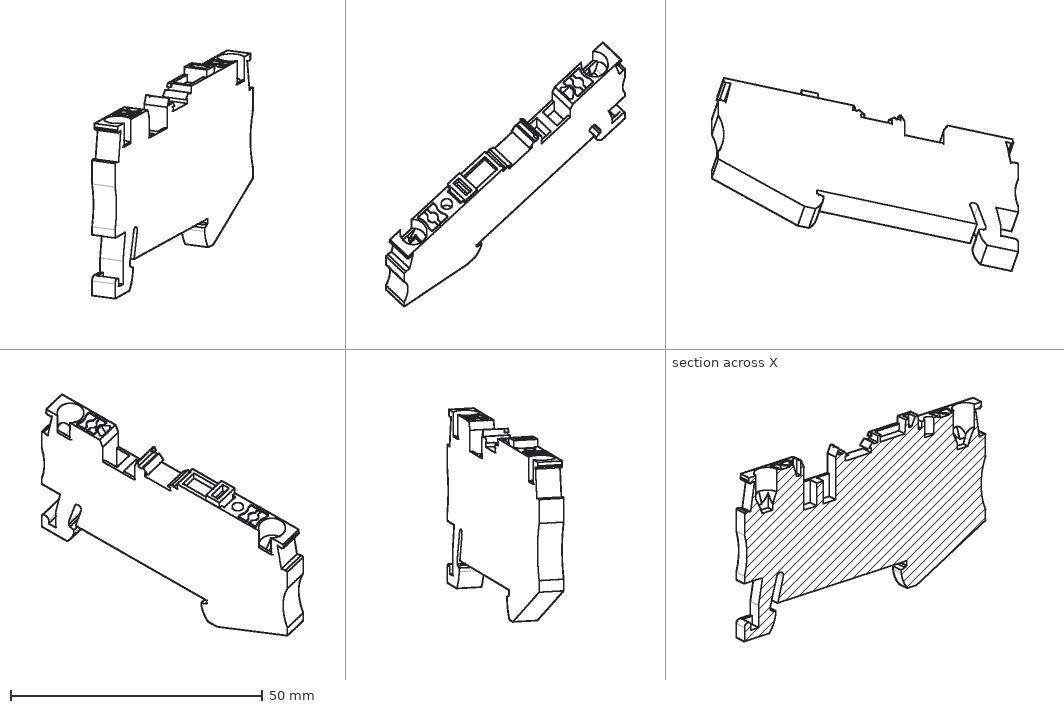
import cadquery as cq
import math

WIDTH = 5.15
LENGTH = 61.9
HEIGHT = 36.8
END_Y = LENGTH / 2
TOP_Z = 35.35
MID_X = WIDTH / 2

LIP_Y = 29.85
LIP_BARB = 0.1
LIP_SIDE_Z = 34.6
LIP_EDGE_Z = 34.35
LIP_DRIP = (29.45, 33.9)
LIP_ROOT = (28.4, 34.1)
STEP_ROOT = (29.4, 27.85)
STEP_RIDGE = (30.45, 28.15)
STEP_EDGE_Z = 28.0

GRIP_TOP_Z = 23.15
REAR_GRIP_BOTTOM_Z = 11.6
REAR_GRIP_DEPTH = 1.1
FRONT_GRIP_BOTTOM_Z = 14.3
FRONT_GRIP_DEPTH = 0.6

RAIL_Z = 6.0
REAR_CORNER_Z = 9.2
FRONT_CORNER_Z = 12.55
SLOT_CENTRE = (-21.8, 11.7)
SLOT_RADIUS = 0.8
SLOT_TILT = math.radians(14.4)
SLOT_END_Z = 5.9
STEM_TOP_Y = -26.4
STEM_BEND_Z = 6.95
REAR_SOLE_Y = 13.2

RAIL_Y = -6.8
CLAW_ROOT_HALF = 17.4
CLAW_ROOT_Z = 5.1
CLAW_BEND = (17.0, 4.75)
CLAW_TIP_HALF = 16.05
CLAW_TIP_TOP_Z = 4.45
CLAW_TIP_BOTTOM_Z = 3.8
CLAW_CURVE = (16.6, 1.8)
CLAW_SOLE_HALF = 17.7

RELEASE_Z = 3.95
RELEASE_ROUND = 0.85
RELEASE_REAR_Y = -27.35
RELEASE_WALL = 0.7
RELEASE_DEPTH = 1.85

LABEL_Y = -1.75
LABEL_FLOOR_Z = 32.2
LABEL_FLOOR_HALF = 3.2
LABEL_TOOTH_HALF = 2.5
LABEL_TOOTH_Z = 33.1
LABEL_PEAK_HALF = 3.65
LABEL_PEAK_Z = 34.3
LABEL_SHELF_HALF = 4.1
LABEL_SHELF_Z = 33.9
LABEL_WALL_HALF = 4.95
HOOK_Z = 34.65
HOOK_TIP_HALF = 4.4
HOOK_TOP_HALF = 4.75
HOOK_THICKNESS = 0.8

BAY_Z = 29.4
BAY_REAR_Y = -7.55
BAY_FRONT_Y = -15.6
BAY_REAR_CHAMFER = (0.8, 1.7)
BAY_FRONT_CHAMFER = (0.75, 1.7)
BAY_POCKET_WIDTH = 4.0
BAY_POCKET_LENGTH = 3.15
BAY_POCKET_DEPTH = 4.95

ENTRY_X = 3.0
ENTRY_Y = 25.4
ENTRY_RADIUS = 2.65
ENTRY_DEPTH = 4.95
FUNNEL_DEPTH = 2.5
FUNNEL_OUTER = 1.4
FUNNEL_MAX_X = 4.6
CLAMP_MIN_X = 1.2
CLAMP_WIDTH = 2.9
CLAMP_OUTER = 0.9
CLAMP_INNER = 1.7
CLAMP_DEPTH = 1.25

PANEL_WIDTH = 4.1
PANEL_INNER_Y = 18.2
PANEL_OUTER_Y = 22.6
PANEL_DEPTH = 0.25
ENTRY_RIM = 0.5
SCREW_Y = 20.35
SCREW_RADIUS = 1.05
SCREW_SLOT = 0.8
SCREW_DEPTH = 0.5

TEST_Y = 16.45
TEST_RADIUS = 1.1
TEST_RIM_RADIUS = 2.1
TEST_DEPTH = 3.7

HEX_POINTS = [(1.3, -16.5), (3.85, -16.5), (4.2, -17.1), (3.15, -18.45), (1.9, -18.45), (0.85, -17.1)]
HEX_FLOOR_Y = -17.45
HEX_DEPTH = 3.1
HEX_RIM = 0.3

POCKET_WIDTH = 3.6
POCKET_REAR_Y = 14.4
POCKET_FRONT_Y = 4.0
POCKET_DEPTH = 1.5
MARKER_WIDTH = 5.0
MARKER_REAR_Y = 13.75
MARKER_TOP_FRONT_Y = 10.4
MARKER_FOOT_FRONT_Y = 10.15
MARKER_SLOT_REAR_Y = 12.8
MARKER_SLOT_BEND_Y = 11.9
MARKER_SLOT_FRONT_Y = 11.25
MARKER_SLOT_DEPTH = 1.85


def block(x_range, y_range, z_range):
    """Axis-aligned box between the given limits."""
    size = [high - low for low, high in (x_range, y_range, z_range)]
    corner = (x_range[0], y_range[0], z_range[0])
    return cq.Workplane("XY").box(*size, centered=False).translate(corner)


def centred_x(width):
    """X limits of a feature centred in the thickness."""
    return (MID_X - width / 2, MID_X + width / 2)


def side_prism(points, x_range):
    """Closed Y-Z polygon extruded across the given X limits."""
    start, end = x_range
    return cq.Workplane("YZ", origin=(start, 0, 0)).polyline(points).close().extrude(end - start)


def disc(x, y, radius, top_z, depth):
    """Upright cylinder hanging down from top_z."""
    return cq.Workplane("XY", origin=(x, y, top_z)).circle(radius).extrude(-depth)


def mirrored_end(shape):
    """Copy of a rear-end feature at the front end."""
    return shape.mirror("XZ")


def end_step(sign):
    """Lip and step of one end, from the top down; sign is +1 at the rear."""
    points = [
        (LIP_Y, TOP_Z),
        (LIP_Y, LIP_SIDE_Z),
        (LIP_Y + LIP_BARB, LIP_EDGE_Z),
        LIP_DRIP,
        LIP_ROOT,
        STEP_ROOT,
        STEP_RIDGE,
        (END_Y, STEP_EDGE_Z),
    ]
    return [(sign * y, z) for y, z in points]


def label_side(sign):
    """One flank of the label groove, from the floor up to its upper wall."""
    points = [
        (LABEL_FLOOR_HALF, LABEL_FLOOR_Z),
        (LABEL_FLOOR_HALF, LABEL_TOOTH_Z),
        (LABEL_TOOTH_HALF, LABEL_TOOTH_Z),
        (LABEL_PEAK_HALF, LABEL_PEAK_Z),
        (LABEL_SHELF_HALF, LABEL_SHELF_Z),
        (LABEL_WALL_HALF, LABEL_SHELF_Z),
        (LABEL_WALL_HALF, TOP_Z),
    ]
    return [(LABEL_Y + sign * y, z) for y, z in points]


def claw(sign):
    """Claw points from root to sole; the last three lie on its curved nose."""
    points = [
        (CLAW_ROOT_HALF, CLAW_ROOT_Z),
        CLAW_BEND,
        (CLAW_TIP_HALF, CLAW_TIP_TOP_Z),
        (CLAW_TIP_HALF, CLAW_TIP_BOTTOM_Z),
        CLAW_CURVE,
        (CLAW_SOLE_HALF, 0),
    ]
    return [(RAIL_Y + sign * y, z) for y, z in points]


def make_body():
    """Side outline extruded through the thickness."""
    along = (math.sin(SLOT_TILT), math.cos(SLOT_TILT))
    across = (along[1], -along[0])

    def slot_point(direction, distance):
        return (SLOT_CENTRE[0] + distance * direction[0], SLOT_CENTRE[1] + distance * direction[1])

    slot_rear = slot_point(across, SLOT_RADIUS)
    slot_top = slot_point(along, SLOT_RADIUS)
    slot_front = slot_point(across, -SLOT_RADIUS)
    slot_mouth_y = slot_rear[0] - (slot_rear[1] - RAIL_Z) * math.tan(SLOT_TILT)

    top_edge = (
        label_side(1)[::-1]
        + label_side(-1)
        + [
            (BAY_REAR_Y + BAY_REAR_CHAMFER[0], TOP_Z),
            (BAY_REAR_Y, TOP_Z - BAY_REAR_CHAMFER[1]),
            (BAY_REAR_Y, BAY_Z),
            (BAY_FRONT_Y, BAY_Z),
            (BAY_FRONT_Y, TOP_Z - BAY_FRONT_CHAMFER[1]),
            (BAY_FRONT_Y - BAY_FRONT_CHAMFER[0], TOP_Z),
        ]
    )
    first, *upper_outline = end_step(1)[::-1] + top_edge + end_step(-1)
    front_grip_mid = (-END_Y + FRONT_GRIP_DEPTH, (GRIP_TOP_Z + FRONT_GRIP_BOTTOM_Z) / 2)
    rear_grip_mid = (END_Y - REAR_GRIP_DEPTH, (GRIP_TOP_Z + REAR_GRIP_BOTTOM_Z) / 2)

    front_claw = claw(-1)
    rear_claw = claw(1)

    outline = cq.Workplane("YZ").moveTo(*first)
    for point in upper_outline:
        outline = outline.lineTo(*point)
    return (
        outline
        .lineTo(-END_Y, GRIP_TOP_Z)
        .threePointArc(front_grip_mid, (-END_Y, FRONT_GRIP_BOTTOM_Z))
        .lineTo(-END_Y, FRONT_CORNER_Z)
        .lineTo(STEM_TOP_Y, FRONT_CORNER_Z)
        .lineTo(RELEASE_REAR_Y, STEM_BEND_Z)
        .lineTo(RELEASE_REAR_Y, RELEASE_Z)
        .lineTo(-END_Y + RELEASE_ROUND, RELEASE_Z)
        .radiusArc((-END_Y, RELEASE_Z - RELEASE_ROUND), -RELEASE_ROUND)
        .lineTo(-END_Y, 0)
        .lineTo(*front_claw[5])
        .threePointArc(front_claw[4], front_claw[3])
        .lineTo(*front_claw[2])
        .lineTo(*front_claw[1])
        .lineTo(*front_claw[0])
        .lineTo(front_claw[0][0], SLOT_END_Z)
        .lineTo(*slot_front)
        .threePointArc(slot_top, slot_rear)
        .lineTo(slot_mouth_y, RAIL_Z)
        .lineTo(rear_claw[0][0], RAIL_Z)
        .lineTo(*rear_claw[0])
        .lineTo(*rear_claw[1])
        .lineTo(*rear_claw[2])
        .lineTo(*rear_claw[3])
        .threePointArc(rear_claw[4], rear_claw[5])
        .lineTo(REAR_SOLE_Y, 0)
        .lineTo(END_Y, REAR_CORNER_Z)
        .lineTo(END_Y, REAR_GRIP_BOTTOM_Z)
        .threePointArc(rear_grip_mid, (END_Y, GRIP_TOP_Z))
        .close()
        .extrude(WIDTH)
    )


def label_hook(sign):
    """Short hook over one side of the label groove, at the X = 0 face only."""
    points = [
        (LABEL_WALL_HALF, TOP_Z),
        (HOOK_TOP_HALF, TOP_Z),
        (HOOK_TIP_HALF, HOOK_Z),
        (LABEL_WALL_HALF, HOOK_Z),
    ]
    return side_prism([(LABEL_Y + sign * y, z) for y, z in points], (0, HOOK_THICKNESS))


def wire_entry():
    """Rear wire entry: round mouth, funnel and square clamp opening."""
    funnel_z = TOP_Z - ENTRY_DEPTH
    clamp_z = funnel_z - FUNNEL_DEPTH
    clamp_x = (CLAMP_MIN_X, CLAMP_MIN_X + CLAMP_WIDTH)
    mouth = disc(ENTRY_X, ENTRY_Y, ENTRY_RADIUS, TOP_Z, ENTRY_DEPTH)

    cone = cq.Workplane(
        cq.Solid.makeCone(
            CLAMP_INNER, ENTRY_RADIUS, FUNNEL_DEPTH, pnt=(ENTRY_X, ENTRY_Y, clamp_z)
        )
    )
    cone = cone.intersect(
        block((0, FUNNEL_MAX_X), (ENTRY_Y - ENTRY_RADIUS, ENTRY_Y), (clamp_z, funnel_z))
    )
    slope_y = [
        (ENTRY_Y, funnel_z),
        (ENTRY_Y + ENTRY_RADIUS, funnel_z),
        (ENTRY_Y + FUNNEL_OUTER, clamp_z),
        (ENTRY_Y, clamp_z),
    ]
    slope_x = [
        (ENTRY_X - ENTRY_RADIUS, funnel_z),
        (FUNNEL_MAX_X, funnel_z),
        (clamp_x[1], clamp_z),
        (clamp_x[0], clamp_z),
    ]
    across = cq.Workplane("XZ").polyline(slope_x).close().extrude(-END_Y)
    flats = (
        side_prism(slope_y, (0, WIDTH))
        .intersect(across)
        .intersect(disc(ENTRY_X, ENTRY_Y, ENTRY_RADIUS, funnel_z, FUNNEL_DEPTH))
    )
    clamp_profile = [
        (ENTRY_Y - CLAMP_INNER, funnel_z),
        (ENTRY_Y + FUNNEL_OUTER, funnel_z),
        (ENTRY_Y + FUNNEL_OUTER, clamp_z),
        (ENTRY_Y + CLAMP_OUTER, clamp_z - CLAMP_DEPTH),
        (ENTRY_Y - CLAMP_INNER, clamp_z - CLAMP_DEPTH),
    ]
    clamp = side_prism(clamp_profile, clamp_x)
    return mouth.union(cone).union(flats).union(clamp)


def marking_panel():
    """Rear marking panel, bounded by the raised rim of the wire entry."""
    x_range = centred_x(PANEL_WIDTH)
    panel = block(x_range, (PANEL_INNER_Y, PANEL_OUTER_Y), (TOP_Z - PANEL_DEPTH, TOP_Z))
    panel = panel.cut(disc(ENTRY_X, ENTRY_Y, ENTRY_RADIUS + ENTRY_RIM, TOP_Z, PANEL_DEPTH))
    slot_y = (SCREW_Y - SCREW_SLOT / 2, SCREW_Y + SCREW_SLOT / 2)
    slot = block(x_range, slot_y, (TOP_Z - SCREW_DEPTH, TOP_Z))
    return panel.union(slot).union(disc(MID_X, SCREW_Y, SCREW_RADIUS, TOP_Z, SCREW_DEPTH))


def hex_prism(margin, depth):
    """Six-sided column below the top face, grown by margin all round."""
    outline = cq.Workplane("XY", origin=(0, 0, TOP_Z)).polyline(HEX_POINTS).close()
    if margin:
        outline = outline.offset2D(margin)
    return outline.extrude(-depth)


def hex_pocket():
    """Six-sided pocket whose front wall slopes in towards the floor."""
    rear_y = max(y for _, y in HEX_POINTS)
    front_y = min(y for _, y in HEX_POINTS)
    floor_z = TOP_Z - HEX_DEPTH
    profile = [(rear_y, TOP_Z), (front_y, TOP_Z), (HEX_FLOOR_Y, floor_z), (rear_y, floor_z)]
    return hex_prism(0, HEX_DEPTH).intersect(side_prism(profile, (0, WIDTH)))


def bay_pocket(rear_y):
    """Rectangular pocket in the floor of the bay."""
    return block(
        centred_x(BAY_POCKET_WIDTH),
        (rear_y - BAY_POCKET_LENGTH, rear_y),
        (BAY_Z - BAY_POCKET_DEPTH, BAY_Z),
    )


def release_pocket():
    """Pocket in the release tab, open at +X, leaving a rounded bead at the tip."""
    bead_y = -END_Y + RELEASE_ROUND
    bead_rear_y = bead_y + RELEASE_ROUND
    floor_z = RELEASE_Z - RELEASE_DEPTH
    return (
        cq.Workplane("YZ", origin=(RELEASE_WALL, 0, 0))
        .moveTo(RELEASE_REAR_Y, RELEASE_Z)
        .lineTo(bead_y, RELEASE_Z)
        .radiusArc((bead_rear_y, RELEASE_Z - RELEASE_ROUND), RELEASE_ROUND)
        .lineTo(bead_rear_y, floor_z)
        .lineTo(RELEASE_REAR_Y, floor_z)
        .close()
        .extrude(WIDTH - RELEASE_WALL)
    )


def marker():
    """Raised marker with a sloping front face and a finger slot on top."""
    foot_z = TOP_Z - POCKET_DEPTH
    outline = [
        (MARKER_REAR_Y, foot_z),
        (MARKER_REAR_Y, HEIGHT),
        (MARKER_TOP_FRONT_Y, HEIGHT),
        (MARKER_FOOT_FRONT_Y, foot_z),
    ]
    slot = [
        (MARKER_SLOT_REAR_Y, HEIGHT),
        (MARKER_SLOT_BEND_Y, HEIGHT - MARKER_SLOT_DEPTH),
        (MARKER_SLOT_FRONT_Y, HEIGHT - MARKER_SLOT_DEPTH),
        (MARKER_SLOT_FRONT_Y, HEIGHT),
    ]
    return side_prism(outline, centred_x(MARKER_WIDTH)).cut(side_prism(slot, centred_x(POCKET_WIDTH)))


body = make_body()
for side in (1, -1):
    body = body.union(label_hook(side))

entry = wire_entry()
body = body.cut(entry).cut(mirrored_end(entry))

panel = marking_panel()
rear_panel = panel.cut(disc(MID_X, TEST_Y, TEST_RIM_RADIUS, TOP_Z, SCREW_DEPTH))
front_panel = mirrored_end(panel).cut(hex_prism(HEX_RIM, SCREW_DEPTH))
body = body.cut(rear_panel).cut(front_panel)

body = body.cut(disc(MID_X, TEST_Y, TEST_RADIUS, TOP_Z, TEST_DEPTH))
body = body.cut(hex_pocket())
body = body.cut(release_pocket())
for pocket_rear_y in (BAY_REAR_Y, BAY_FRONT_Y + BAY_POCKET_LENGTH):
    body = body.cut(bay_pocket(pocket_rear_y))

marker_pocket = block(
    centred_x(POCKET_WIDTH), (POCKET_FRONT_Y, POCKET_REAR_Y), (TOP_Z - POCKET_DEPTH, TOP_Z)
)
result = body.cut(marker_pocket).union(marker())